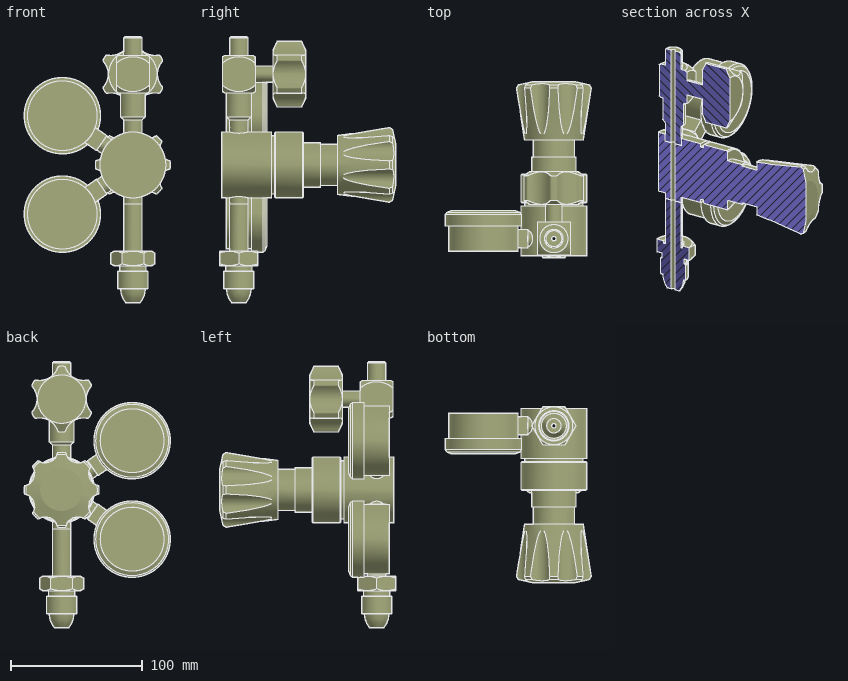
import cadquery as cq
import math


bore_radius = 1.6
tube_radius = 7.0
stub_bottom = -29.7

body_radius = 25.0
body_front = -13.1
body_back = 24.8
groove_radius = 22.2
bonnet_front = 27.0
bonnet_back = 49.0
bonnet_radius = body_radius
bonnet_chamfer = 0.8
collar_radius = 17.0
collar_back = 61.8
shaft_radius = 15.7
knob_front = 74.7
knob_front_radius = 22.5
knob_rim_radius = 28.5
knob_rim_y = 114.3
dome_radius = 27.0
dome_edge_y = 116.7
knob_back = 119.1
dome_flat_radius = 16.2
knob_flutes = 8
knob_flute_radius = 9.5
knob_flute_root = 23.0

outlet_top = 97.3
outlet_bottom = 19.2
outlet_chamfer = 1.0
block_z = 68.9
block_width = 25.0
block_height = 28.7
block_flat_radius = 10.7
block_sphere_radius = 22.2
sleeve_radius = 9.5
sleeve_bottom = 36.5
sleeve_chamfer = sleeve_radius - tube_radius
spindle_radius = 6.3
wheel_radius = 25.0
wheel_front = 25.8
wheel_thickness = 25.0
wheel_face_radius = 18.4
wheel_chamfer_depth = 3.2
wheel_flutes = 6
wheel_flute_radius = 14.5
wheel_flute_root = 18.8
wheel_tip_fillet = 1.6

nose_bottom = -104.5
nose_top = -94.3
nose_top_radius = 9.5
nose_mid_radius = 8.5
nose_tip_radius = 5.5
hex_top = -65.5
hex_height = 11.1
hex_bottom = hex_top - hex_height
hex_across_flats = 29.0
hex_chamfer_radius = 14.3
hex_chamfer_depth = 1.5
neck_radius = 10.0
neck_bottom = -80.4
thread_radius = 11.5
thread_chamfer = 0.6
recess_radius = 8.3
recess_depth = 2.0

gauge_sides = (1, -1)
gauge_x = -53.5
gauge_z = 37.4
case_radius = 26.5
case_back = -9.7
rim_radius = 29.0
rim_start = 9.5
rim_end = 18.2
bezel_radius = 27.7
bezel_y = 20.0
glass_radius = 24.2
gauge_front = 21.5
stem_width = 14.0
stem_end = 28.9
spigot_radius = 6.5
spigot_end = 19.2


def cylinder_y(radius, start, end, x=0.0, z=0.0):
    """Solid cylinder parallel to Y, between two Y positions."""
    return cq.Workplane("XZ", origin=(x, start, z)).circle(radius).extrude(start - end)


def cylinder_z(radius, bottom, top):
    """Solid cylinder on the gas line's axis, between two heights."""
    return cq.Workplane("XY", origin=(0, 0, bottom)).circle(radius).extrude(top - bottom)


def turned_y(profile):
    """Solid of revolution about Y from a profile of (radius, y) points that starts and ends on Y."""
    return cq.Workplane("XY").polyline(profile).close().revolve(360, (0, 0), (0, 1))


def turned_z(profile):
    """Solid of revolution about Z from a profile of (radius, z) points that starts and ends on Z."""
    return cq.Workplane("XZ").polyline(profile).close().revolve(360, (0, 0), (0, 1))


def flute_cutters(count, first_angle, root, radius, start, end):
    """Ring of cylinders parallel to Y that cut finger flutes down to the root radius."""
    centre_distance = root + radius
    cutters = cq.Workplane("XY")
    for i in range(count):
        angle = math.radians(first_angle + i * 360 / count)
        x = centre_distance * math.cos(angle)
        z = centre_distance * math.sin(angle)
        cutters = cutters.add(cylinder_y(radius, start, end, x, z))
    return cutters.combine()


def make_turned_regulator():
    """Body, bonnet and shaft of the regulator, stepped along Y."""
    bonnet_edge = bonnet_radius - bonnet_chamfer
    return turned_y([
        (0, body_front),
        (body_radius, body_front),
        (body_radius, body_back),
        (groove_radius, body_back),
        (groove_radius, bonnet_front),
        (bonnet_edge, bonnet_front),
        (bonnet_radius, bonnet_front + bonnet_chamfer),
        (bonnet_radius, bonnet_back - bonnet_chamfer),
        (bonnet_edge, bonnet_back),
        (collar_radius, bonnet_back),
        (collar_radius, collar_back),
        (shaft_radius, collar_back),
        (shaft_radius, knob_front),
        (0, knob_front),
    ])


def make_knob():
    """Adjusting knob: a cone that widens towards +Y, with flutes that run out on its side."""
    knob = turned_y([
        (0, knob_front),
        (knob_front_radius, knob_front),
        (knob_rim_radius, knob_rim_y),
        (dome_radius, dome_edge_y),
        (dome_flat_radius, knob_back),
        (0, knob_back),
    ])
    half_pitch = 180 / knob_flutes
    flutes = flute_cutters(
        knob_flutes, half_pitch, knob_flute_root, knob_flute_radius, knob_front, knob_back
    )
    return knob.cut(flutes)


def make_valve_block():
    """Square block whose upper and lower corners are rounded off by two large spheres."""
    block = cq.Workplane("XY").box(block_width, block_width, block_height)
    sphere_rise = math.sqrt(block_sphere_radius**2 - block_flat_radius**2)
    sphere_offset = sphere_rise - block_height / 2
    for z in (-sphere_offset, sphere_offset):
        block = block.intersect(cq.Workplane("XY", origin=(0, 0, z)).sphere(block_sphere_radius))
    return block.translate((0, 0, block_z))


def make_handwheel():
    """Lobed handwheel of the valve, bevelled at both faces, on its spindle."""
    wheel_back = wheel_front + wheel_thickness
    wheel = cylinder_y(wheel_radius, wheel_front, wheel_back)
    flutes = flute_cutters(
        wheel_flutes, 0, wheel_flute_root, wheel_flute_radius, wheel_front, wheel_back
    )
    wheel = wheel.cut(flutes).edges("|Y").fillet(wheel_tip_fillet)
    bevelled_blank = turned_y([
        (0, wheel_front),
        (wheel_face_radius, wheel_front),
        (wheel_radius, wheel_front + wheel_chamfer_depth),
        (wheel_radius, wheel_back - wheel_chamfer_depth),
        (wheel_face_radius, wheel_back),
        (0, wheel_back),
    ])
    spindle = cylinder_y(spindle_radius, 0, wheel_front)
    return wheel.intersect(bevelled_blank).union(spindle).translate((0, 0, block_z))


def make_outlet_tube():
    """Tube that stands in the regulator and runs up through the valve block, with a sleeve."""
    tube = cylinder_z(tube_radius, outlet_bottom, outlet_top).faces(">Z").chamfer(outlet_chamfer)
    sleeve = turned_z([
        (0, sleeve_bottom - sleeve_chamfer),
        (tube_radius, sleeve_bottom - sleeve_chamfer),
        (sleeve_radius, sleeve_bottom),
        (sleeve_radius, block_z),
        (0, block_z),
    ])
    return tube.union(sleeve)


def make_outlet_valve():
    """Outlet valve: tube, square block and handwheel, bored along the gas line."""
    valve = make_outlet_tube().union(make_valve_block()).union(make_handwheel())
    return valve.cut(cylinder_z(bore_radius, outlet_bottom, outlet_top))


def stem_plane(distance, side):
    """Plane across a gauge's stem, at a distance from the regulator's axis, facing the gauge."""
    direction = cq.Vector(gauge_x, 0, side * gauge_z).normalized()
    return cq.Plane(origin=(direction * distance).toTuple(), xDir=(0, 1, 0), normal=direction.toTuple())


def make_spigot(side):
    """Round end of a gauge's stem, which sits in a socket in the regulator."""
    spigot_length = stem_end - spigot_end
    return cq.Workplane(stem_plane(spigot_end, side)).circle(spigot_radius).extrude(spigot_length)


def make_regulator():
    """Regulator with its knob and inlet stub, and with sockets for the outlet tube and the gauges."""
    stub = cylinder_z(tube_radius, stub_bottom, 0)
    regulator = make_turned_regulator().union(make_knob()).union(stub)
    outlet_socket = cylinder_z(tube_radius, outlet_bottom, body_radius)
    bore = cylinder_z(bore_radius, stub_bottom, body_radius)
    regulator = regulator.cut(outlet_socket).cut(bore)
    for side in gauge_sides:
        regulator = regulator.cut(make_spigot(side))
    return regulator


def make_gauge(side):
    """Pressure gauge with its square stem and round spigot."""
    case = turned_y([
        (0, case_back),
        (case_radius, case_back),
        (case_radius, rim_start),
        (rim_radius, rim_start),
        (rim_radius, rim_end),
        (bezel_radius, bezel_y),
        (glass_radius, gauge_front),
        (0, gauge_front),
    ]).translate((gauge_x, 0, side * gauge_z))
    stem_length = math.hypot(gauge_x, gauge_z) - stem_end
    stem = cq.Workplane(stem_plane(stem_end, side)).rect(stem_width, stem_width).extrude(stem_length)
    return case.union(stem).union(make_spigot(side))


def make_hexagon():
    """Hexagon of the inlet fitting, with its corners chamfered above and below."""
    corner_radius = hex_across_flats / math.sqrt(3)
    hexagon = (
        cq.Workplane("XY", origin=(0, 0, hex_bottom))
        .polygon(6, 2 * corner_radius)
        .extrude(hex_height)
    )
    chamfered_blank = turned_z([
        (0, hex_bottom),
        (hex_chamfer_radius, hex_bottom),
        (corner_radius, hex_bottom + hex_chamfer_depth),
        (corner_radius, hex_top - hex_chamfer_depth),
        (hex_chamfer_radius, hex_top),
        (0, hex_top),
    ])
    return hexagon.intersect(chamfered_blank)


def make_nose():
    """Bullet nose with a convex arc for its side."""
    return (
        cq.Workplane("XZ")
        .moveTo(0, nose_top)
        .lineTo(nose_top_radius, nose_top)
        .threePointArc((nose_mid_radius, (nose_top + nose_bottom) / 2), (nose_tip_radius, nose_bottom))
        .lineTo(0, nose_bottom)
        .close()
        .revolve(360, (0, 0), (0, 1))
    )


def make_inlet():
    """Inlet fitting: hexagon, neck, thread and nose below a tube that stands in a recess in the hexagon."""
    neck = cylinder_z(neck_radius, neck_bottom, hex_bottom)
    thread = cylinder_z(thread_radius, nose_top, neck_bottom).faces("<Z or >Z").chamfer(thread_chamfer)
    recess = cylinder_z(recess_radius, hex_top - recess_depth, hex_top)
    tube = cylinder_z(tube_radius, hex_bottom, stub_bottom)
    fitting = make_hexagon().cut(recess)
    for piece in (tube, neck, thread, make_nose()):
        fitting = fitting.union(piece)
    return fitting.cut(cylinder_z(bore_radius, nose_bottom, stub_bottom))


regulator = make_regulator()
outlet_valve = make_outlet_valve()
inlet = make_inlet()
gauges = [make_gauge(side) for side in gauge_sides]

bodies = [regulator, outlet_valve, inlet, *gauges]
result = cq.Compound.makeCompound([body.solids().val() for body in bodies])